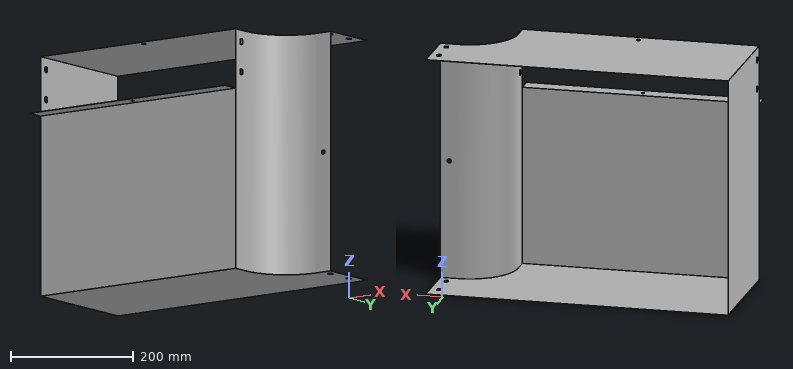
import cadquery as cq

sheet = 1.0
height = 400.0
port_width = 400.0
port_size = 100.0
bend_radius = 80.0
collar = 30.0
length = port_width + bend_radius + collar
depth = port_size + bend_radius + collar
sill = height - port_size

edge_inset = 15.0
slot_width = 7.0
slot_length = 10.0
slot_angle = 90.0
slot_offsets = (20.0, 70.0)
bolt_hole = 7.0
flange_hole = 5.0


def plan_outline(plane):
    """Plan shape with the concave corner; front edge on Y = 0."""
    return (
        plane.moveTo(0, 0)
        .lineTo(port_width, 0)
        .lineTo(port_width, collar)
        .radiusArc((port_width + bend_radius, collar + bend_radius), bend_radius)
        .lineTo(length, collar + bend_radius)
        .lineTo(length, depth)
        .lineTo(0, depth)
        .close()
    )


def make_curved_wall():
    """Full height wall: straight collar, concave quarter bend, straight collar."""
    duct_side_radius = bend_radius + sheet
    return (
        cq.Workplane("XY")
        .moveTo(port_width, 0)
        .lineTo(port_width, collar)
        .radiusArc((port_width + bend_radius, collar + bend_radius), bend_radius)
        .lineTo(length, collar + bend_radius)
        .lineTo(length, collar + bend_radius + sheet)
        .lineTo(port_width + bend_radius, collar + bend_radius + sheet)
        .radiusArc((port_width - sheet, collar), -duct_side_radius)
        .lineTo(port_width - sheet, 0)
        .close()
        .extrude(height)
    )


def make_shell():
    """Walls, floor and roof; the back and both ports stay open.

    The front wall lies on the outside of the body, and its flange rests on top of it.
    """
    floor = plan_outline(cq.Workplane("XY")).extrude(sheet)
    roof = floor.translate((0, 0, height - sheet))
    left_wall = cq.Workplane("XY").box(sheet, depth, height, centered=False)
    front_wall = cq.Workplane("XY", origin=(0, -sheet, 0)).box(port_width, sheet, sill, centered=False)
    flange = (
        cq.Workplane("XY", origin=(0, -collar, sill))
        .box(port_width, collar, sheet, centered=False)
    )
    shell = make_curved_wall()
    for panel in (floor, roof, left_wall, front_wall, flange):
        shell = shell.union(panel)
    return shell


def end_port_holes():
    """Slots through roof and floor, and one round hole through the collar of the end port."""
    x = length - edge_inset
    points = [(x, collar + bend_radius + offset) for offset in slot_offsets]
    slots = (
        cq.Workplane("XY")
        .pushPoints(points)
        .slot2D(slot_length, slot_width, slot_angle)
        .extrude(height)
    )
    hole = (
        cq.Workplane("XZ", origin=(x, depth, height / 2))
        .circle(bolt_hole / 2)
        .extrude(depth)
    )
    return slots.union(hole)


def front_port_holes():
    """Slots through both side walls, one round hole in the roof and one in the flange."""
    points = [(edge_inset, height - offset) for offset in slot_offsets]
    slots = (
        cq.Workplane("YZ")
        .pushPoints(points)
        .slot2D(slot_length, slot_width, slot_angle)
        .extrude(port_width)
    )
    hole = (
        cq.Workplane("XY", origin=(port_width / 2, edge_inset, sill))
        .circle(bolt_hole / 2)
        .extrude(port_size)
    )
    flange_cut = (
        cq.Workplane("XY", origin=(port_width / 2, -edge_inset, 0))
        .circle(flange_hole / 2)
        .extrude(height)
    )
    return slots.union(hole).union(flange_cut)


result = make_shell().cut(end_port_holes()).cut(front_port_holes())